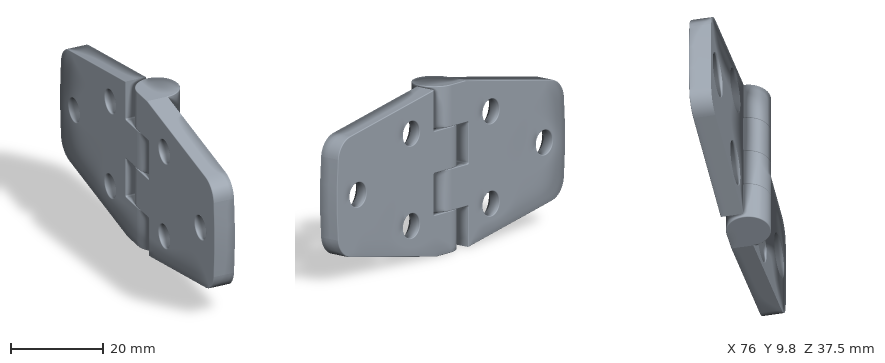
import cadquery as cq
import math

total_width = 76.0
total_height = 37.5
half_width = total_width / 2
half_height = total_height / 2

barrel_diameter = 9.8
barrel_radius = barrel_diameter / 2
leaf_thickness = barrel_radius

slope_angle = 10.4
end_arc_radius = 100.0
corner_radius = 5.0
edge_round = 0.2

knuckle_count = 4
knuckle_length = total_height / knuckle_count
notch_edge_x = 5.74
notch_corner_radius = 0.3

hole_diameter = 5.5
outer_hole_x = 31.0
inner_hole_x = 13.25
inner_hole_z = 10.3
hole_centers = [
    (outer_hole_x, 0),
    (inner_hole_x, inner_hole_z),
    (inner_hole_x, -inner_hole_z),
]
countersink_diameter = 10.0
countersink_angle = 90.0


def leaf_blank():
    """Right-hand plate with a full-height barrel, before notches, rounds and holes."""
    slope = math.tan(math.radians(slope_angle))
    end_half_height = half_height - (half_width - barrel_radius) * slope
    end_bulge = end_arc_radius - math.sqrt(end_arc_radius**2 - end_half_height**2)
    corner_x = half_width - end_bulge
    corner_z = half_height - (corner_x - barrel_radius) * slope
    plate = (
        cq.Workplane("XZ")
        .moveTo(0, -half_height)
        .lineTo(barrel_radius, -half_height)
        .lineTo(corner_x, -corner_z)
        .threePointArc((half_width, 0), (corner_x, corner_z))
        .lineTo(barrel_radius, half_height)
        .lineTo(0, half_height)
        .close()
        .extrude(leaf_thickness)
        .edges("|Y")
        .edges(">X")
        .fillet(corner_radius)
    )
    barrel = (
        cq.Workplane("XY")
        .workplane(offset=-half_height)
        .circle(barrel_radius)
        .extrude(total_height)
    )
    return plate.union(barrel)


def notch(top_z, bottom_z):
    """Cutter for one knuckle gap, with rounded inner corners."""
    width = barrel_diameter + notch_edge_x
    depth = 2 * barrel_diameter
    return (
        cq.Workplane("XY")
        .box(width, depth, top_z - bottom_z, centered=(False, True, False))
        .translate((-barrel_diameter, 0, bottom_z))
        .edges("|Y and >X")
        .fillet(notch_corner_radius)
    )


def screw_hole(x, z):
    """Cutter for one screw hole: rounded front rim, straight bore, countersink at the back."""
    bore_radius = hole_diameter / 2
    rim_radius = bore_radius + edge_round
    sink_radius = countersink_diameter / 2
    sink_depth = (sink_radius - bore_radius) / math.tan(math.radians(countersink_angle / 2))
    arc_offset = edge_round * (1 - math.sqrt(0.5))
    profile = (
        cq.Workplane("XY")
        .moveTo(0, -leaf_thickness)
        .lineTo(rim_radius, -leaf_thickness)
        .threePointArc(
            (bore_radius + arc_offset, arc_offset - leaf_thickness),
            (bore_radius, edge_round - leaf_thickness),
        )
        .lineTo(bore_radius, -sink_depth)
        .lineTo(sink_radius, 0)
        .lineTo(0, 0)
        .close()
    )
    return profile.revolve(360, (0, 0), (0, 1)).translate((x, 0, z))


def leaf():
    """Right-hand leaf carrying the first and third knuckles from the top."""
    body = leaf_blank()
    for index in range(1, knuckle_count, 2):
        top_z = half_height - index * knuckle_length
        is_last = index == knuckle_count - 1
        length = 2 * knuckle_length if is_last else knuckle_length
        body = body.cut(notch(top_z, top_z - length))
    front_edges = body.faces("<Y").edges("not |Z").vals()
    barrel_arcs = body.faces("|Z").edges("%CIRCLE").edges("<X").vals()
    body = body.newObject(front_edges + barrel_arcs).fillet(edge_round)
    for x, z in hole_centers:
        body = body.cut(screw_hole(x, z))
    return body


right_leaf = leaf()
left_leaf = right_leaf.rotate((0, 0, 0), (0, 1, 0), 180)
result = cq.Compound.makeCompound([right_leaf.val(), left_leaf.val()])